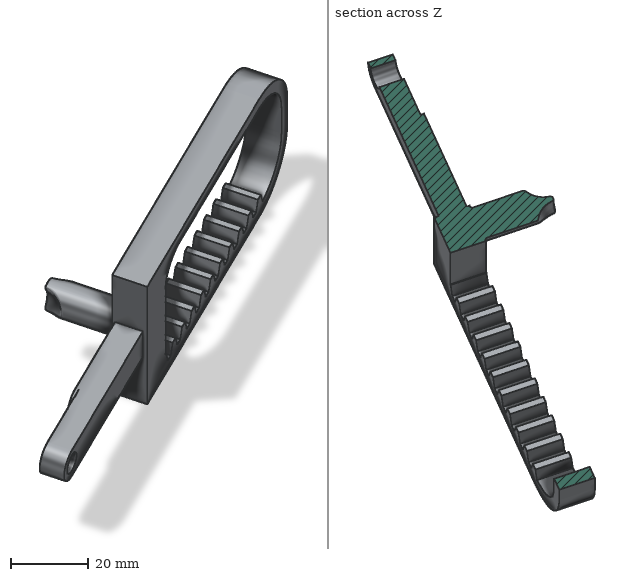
import cadquery as cq
import math

overall_length = 138.8
frame_thickness = 10.0
frame_length = 88.8
frame_height = 46.1
wall = 3.7
outer_radius = 18.0
inner_radius = outer_radius - wall
pin_end_radius = 9.0
pin_block_width = 11.7

tooth_count = 10
tooth_pitch = 6.01
tooth_height = 3.7
tooth_crown = 1.8
tooth_base = 4.2
first_tooth_y = 71.0
mark_tooth_index = 4
mark_diameter = 2.0
mark_depth = 1.4

arm_length = overall_length - frame_length
arm_width = 10.0
arm_front = 0.8
arm_back = 8.7
arm_step = 1.0
step_radius = arm_width / 2
step_tip_y = -30.3
arm_hole_diameter = 6.0

pin_diameter = 10.0
pin_length = 21.0
pin_y = pin_block_width / 2
pin_root_fillet = 0.5
scoop_radius = 6.5
tip_web = 1.7
tip_fillet = 0.8

window_floor = -frame_height / 2 + wall


def plate(x_start, thickness, y_start, y_end, height):
    """Rectangular plate centred on Z = 0, with its front face at x_start."""
    block = cq.Workplane("XY").box(thickness, y_end - y_start, height, centered=(False, False, True))
    return block.translate((x_start, y_start, 0))


def cylinder_x(x_start, length, diameter, y, z):
    """Cylinder running along +X."""
    return cq.Workplane("YZ", origin=(x_start, y, z)).circle(diameter / 2).extrude(length)


def make_tooth(center_y):
    """Trapezoidal rack tooth, rooted slightly inside the wall."""
    return (
        cq.Workplane("YZ")
        .moveTo(center_y - tooth_base / 2, -frame_height / 2 + wall / 2)
        .lineTo(center_y - tooth_base / 2, window_floor)
        .lineTo(center_y - tooth_crown / 2, window_floor + tooth_height)
        .lineTo(center_y + tooth_crown / 2, window_floor + tooth_height)
        .lineTo(center_y + tooth_base / 2, window_floor)
        .lineTo(center_y + tooth_base / 2, -frame_height / 2 + wall / 2)
        .close()
        .extrude(frame_thickness)
    )


def make_frame():
    frame = plate(0, frame_thickness, 0, frame_length, frame_height)
    frame = frame.edges("|X and >Y").fillet(outer_radius)
    window = plate(0, frame_thickness, pin_block_width, frame_length - wall, frame_height - 2 * wall)
    window = window.edges("|X and >Y").fillet(inner_radius)
    window = window.edges("|X and <Y and >Z").fillet(pin_end_radius)
    frame = frame.cut(window)
    for index in range(tooth_count + 1):
        frame = frame.union(make_tooth(first_tooth_y - index * tooth_pitch))
    mark_y = first_tooth_y - mark_tooth_index * tooth_pitch
    return frame.cut(cylinder_x(0, mark_depth, mark_diameter, mark_y, window_floor))


def make_arm():
    arm = plate(arm_front, arm_back - arm_front, -arm_length, 0, arm_width)
    end_y = -arm_length + arm_width / 2
    relief = plate(arm_front, arm_step, -arm_length, step_tip_y + step_radius, arm_width)
    relief = relief.cut(cylinder_x(arm_front, arm_step, 2 * step_radius, step_tip_y + step_radius, 0))
    arm = arm.cut(relief)
    round_end = cylinder_x(arm_front, arm_back - arm_front, arm_width, end_y, 0)
    keep = plate(arm_front, arm_back - arm_front, end_y, 0, arm_width).union(round_end)
    return arm.intersect(keep).cut(cylinder_x(arm_front, arm_back - arm_front, arm_hole_diameter, end_y, 0))


def make_pin():
    pin = cylinder_x(-pin_length, pin_length, pin_diameter, pin_y, 0)
    for side in (-1, 1):
        scoop_y = pin_y + side * (scoop_radius + tip_web / 2)
        pin = pin.cut(cq.Workplane("XY").sphere(scoop_radius).translate((-pin_length, scoop_y, 0)))
    return pin.edges("not (>X or |X)").fillet(tip_fillet)


def make_root_fillet():
    """Concave collar blending the pin into the frame's front face."""
    pin_radius = pin_diameter / 2
    rim = pin_radius + pin_root_fillet
    sag = pin_root_fillet * (1 - math.sqrt(0.5))
    return (
        cq.Workplane("XY")
        .moveTo(0, 0)
        .lineTo(0, rim)
        .threePointArc((-sag, pin_radius + sag), (-pin_root_fillet, pin_radius))
        .lineTo(-pin_root_fillet, 0)
        .close()
        .revolve(360, (0, 0, 0), (1, 0, 0))
        .translate((0, pin_y, 0))
    )


result = make_frame().union(make_arm()).union(make_pin()).union(make_root_fillet())